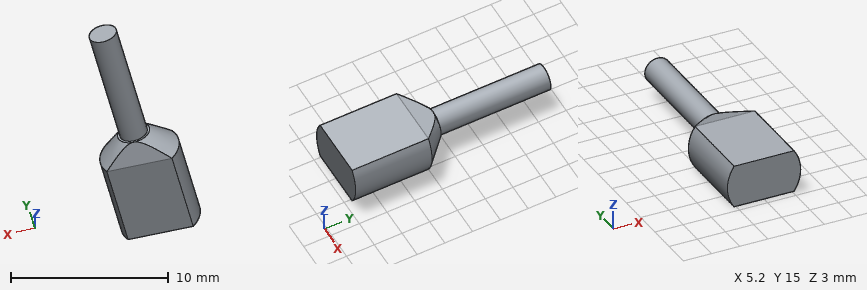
import cadquery as cq

total_length = 15.0
collar_diameter = 5.2
collar_height = 3.0
collar_length = 5.5
taper_length = 1.5
taper_end_diameter = 2.1
tube_diameter = 1.8

taper_end_y = collar_length + taper_length


def make_revolved_body():
    """Round collar, conical taper and thin tube turned about the Y axis."""
    return (
        cq.Workplane("XY")
        .lineTo(collar_diameter / 2, 0)
        .lineTo(collar_diameter / 2, collar_length)
        .lineTo(taper_end_diameter / 2, taper_end_y)
        .lineTo(tube_diameter / 2, taper_end_y)
        .lineTo(tube_diameter / 2, total_length)
        .lineTo(0, total_length)
        .close()
        .revolve(360, (0, 0, 0), (0, 1, 0))
    )


def make_flattening_envelope():
    """Prism whose flat and sloping faces trim the top and bottom of the body."""
    half_height = collar_height / 2
    end_half_height = taper_end_diameter / 2
    return (
        cq.Workplane("YZ")
        .moveTo(0, -half_height)
        .lineTo(collar_length, -half_height)
        .lineTo(taper_end_y, -end_half_height)
        .lineTo(total_length, -end_half_height)
        .lineTo(total_length, end_half_height)
        .lineTo(taper_end_y, end_half_height)
        .lineTo(collar_length, half_height)
        .lineTo(0, half_height)
        .close()
        .extrude(collar_diameter, both=True)
    )


result = make_revolved_body().intersect(make_flattening_envelope())